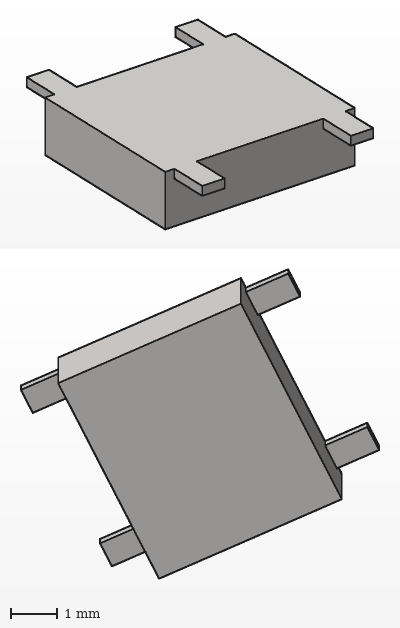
import cadquery as cq

overall_length = 6.4
body_width = 5.1
body_height = 1.4

body_length = 4.38
lead_width = 0.6
lead_thickness = 0.24
lead_pitch = 4.0


def make_body():
    """Plain rectangular block, centred on the origin."""
    return cq.Workplane("XY").box(body_length, body_width, body_height)


def make_lead_bar(y):
    """Flat bar through the body, flush with its top, forming a lead at each end."""
    bar_center_z = (body_height - lead_thickness) / 2
    bar = cq.Workplane("XY").box(overall_length, lead_width, lead_thickness)
    return bar.translate((0, y, bar_center_z))


result = make_body()
for side in (-1, 1):
    result = result.union(make_lead_bar(side * lead_pitch / 2))